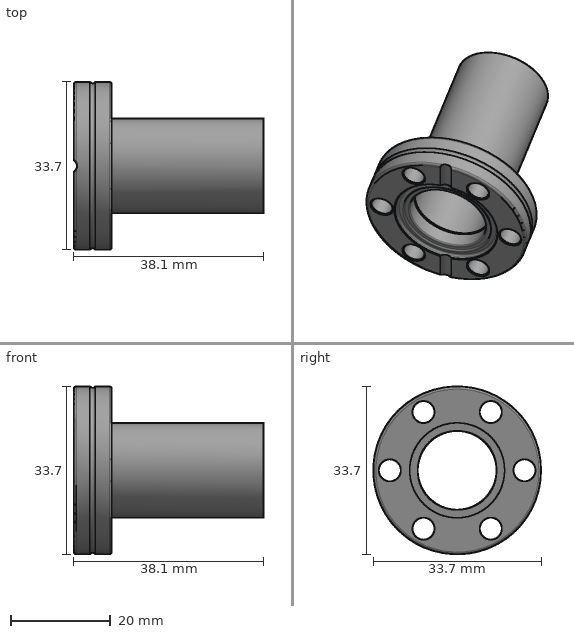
import cadquery as cq
import math

TOTAL_LENGTH = 38.1
FLANGE_DIAMETER = 33.7
FLANGE_THICKNESS = 7.62
FLANGE_EDGE_FILLET = 0.5

TUBE_OUTER_DIAMETER = 19.05
TUBE_BORE_DIAMETER = 15.75
TUBE_START = 4.5

SOCKET_FLOOR_DEPTH = 4.25
FLANGE_BORE_DIAMETER = 16.0
BORE_FILLET = 0.3

RECESS_DIAMETER = 21.46
RECESS_RIM_CHAMFER = 0.15
RECESS_CORNER_RADIUS = 0.4
RECESS_CORNER_START = 0.66
KNIFE_SLOPE_ANGLE = 20
KNIFE_INNER_RADIUS = 9.22
KNIFE_TIP_ROUNDING = 0.1
KNIFE_FOOT_FILLET = 0.22
INNER_FLOOR_DEPTH = 1.1

RIM_GROOVE_WIDTH = 1.1
RIM_GROOVE_DEPTH = 0.28

BOLT_HOLE_COUNT = 6
BOLT_CIRCLE_DIAMETER = 27.0
BOLT_HOLE_DIAMETER = 4.37
BOLT_HOLE_CHAMFER = 0.22

CHANNEL_WIDTH = 2.3
CHANNEL_DEPTH = 0.62


def arc_radius(width, depth):
    """Radius of the arc that spans a chord of this width with this sagitta."""
    return (width ** 2 / 4 + depth ** 2) / (2 * depth)


def arc_point(center, radius, angle):
    """Point (X, radius) on an arc; the angle turns from +X toward larger radius."""
    return (center[0] + radius * math.cos(angle), center[1] + radius * math.sin(angle))


def revolve_about_x(outline):
    """Revolve an outline drawn as (X, radius) about the X axis."""
    return outline.close().revolve(360, (0, 0, 0), (1, 0, 0))


def make_flange_blank():
    flange_radius = FLANGE_DIAMETER / 2
    recess_radius = RECESS_DIAMETER / 2
    bore_radius = FLANGE_BORE_DIAMETER / 2
    socket_radius = TUBE_OUTER_DIAMETER / 2
    groove_middle = FLANGE_THICKNESS / 2
    groove_half = RIM_GROOVE_WIDTH / 2

    slope = math.radians(KNIFE_SLOPE_ANGLE)
    corner_center = (RECESS_CORNER_START, recess_radius - RECESS_CORNER_RADIUS)
    corner_foot = arc_point(corner_center, RECESS_CORNER_RADIUS, -slope)
    corner_middle = arc_point(corner_center, RECESS_CORNER_RADIUS, (math.pi / 2 - slope) / 2)

    tip_center_radius = KNIFE_INNER_RADIUS + KNIFE_TIP_ROUNDING
    tip_outer_radius = tip_center_radius + KNIFE_TIP_ROUNDING * math.sin(slope)
    tip_outer_depth = corner_foot[0] - (corner_foot[1] - tip_outer_radius) * math.tan(slope)
    tip_center = (tip_outer_depth + KNIFE_TIP_ROUNDING * math.cos(slope), tip_center_radius)
    tip_outer = (tip_outer_depth, tip_outer_radius)
    tip_middle = arc_point(tip_center, KNIFE_TIP_ROUNDING, (3 * math.pi / 2 + math.pi - slope) / 2)
    tip_inner = (tip_center[0], KNIFE_INNER_RADIUS)

    foot_center = (INNER_FLOOR_DEPTH - KNIFE_FOOT_FILLET, KNIFE_INNER_RADIUS - KNIFE_FOOT_FILLET)
    foot_middle = arc_point(foot_center, KNIFE_FOOT_FILLET, math.pi / 4)

    bore_bulge = BORE_FILLET * (1 - math.sqrt(0.5))
    fillet = FLANGE_EDGE_FILLET
    fillet_bulge = fillet * (1 - math.sqrt(0.5))
    outline = (
        cq.Workplane("XY")
        .moveTo(0, recess_radius + RECESS_RIM_CHAMFER)
        .lineTo(0, flange_radius - fillet)
        .threePointArc((fillet_bulge, flange_radius - fillet_bulge), (fillet, flange_radius))
        .lineTo(groove_middle - groove_half, flange_radius)
        .threePointArc(
            (groove_middle, flange_radius - RIM_GROOVE_DEPTH),
            (groove_middle + groove_half, flange_radius),
        )
        .lineTo(FLANGE_THICKNESS - fillet, flange_radius)
        .threePointArc(
            (FLANGE_THICKNESS - fillet_bulge, flange_radius - fillet_bulge),
            (FLANGE_THICKNESS, flange_radius - fillet),
        )
        .lineTo(FLANGE_THICKNESS, socket_radius)
        .lineTo(SOCKET_FLOOR_DEPTH, socket_radius)
        .lineTo(SOCKET_FLOOR_DEPTH, bore_radius)
        .lineTo(INNER_FLOOR_DEPTH + BORE_FILLET, bore_radius)
        .threePointArc(
            (INNER_FLOOR_DEPTH + bore_bulge, bore_radius + bore_bulge),
            (INNER_FLOOR_DEPTH, bore_radius + BORE_FILLET),
        )
        .lineTo(INNER_FLOOR_DEPTH, foot_center[1])
        .threePointArc(foot_middle, (foot_center[0], KNIFE_INNER_RADIUS))
        .lineTo(*tip_inner)
        .threePointArc(tip_middle, tip_outer)
        .lineTo(*corner_foot)
        .threePointArc(corner_middle, (RECESS_CORNER_START, recess_radius))
        .lineTo(RECESS_RIM_CHAMFER, recess_radius)
    )
    return revolve_about_x(outline)


def make_bolt_hole(angle):
    """Cutter for one through hole with its mouth chamfered at the sealing face."""
    hole_radius = BOLT_HOLE_DIAMETER / 2
    outline = (
        cq.Workplane("XY")
        .moveTo(0, 0)
        .lineTo(0, hole_radius + BOLT_HOLE_CHAMFER)
        .lineTo(BOLT_HOLE_CHAMFER, hole_radius)
        .lineTo(FLANGE_THICKNESS, hole_radius)
        .lineTo(FLANGE_THICKNESS, 0)
    )
    hole = revolve_about_x(outline).translate((0, BOLT_CIRCLE_DIAMETER / 2, 0))
    return hole.rotate((0, 0, 0), (1, 0, 0), angle)


def make_channel():
    """Cutter for the two opposed channels, running straight across along Z."""
    radius = arc_radius(CHANNEL_WIDTH, CHANNEL_DEPTH)
    return (
        cq.Workplane("XY")
        .center(CHANNEL_DEPTH - radius, 0)
        .circle(radius)
        .extrude(FLANGE_DIAMETER / 2, both=True)
    )


def make_flange():
    flange = make_flange_blank()
    for index in range(BOLT_HOLE_COUNT):
        flange = flange.cut(make_bolt_hole(index * 360 / BOLT_HOLE_COUNT))
    return flange.cut(make_channel())


def make_tube():
    return (
        cq.Workplane("YZ", origin=(TUBE_START, 0, 0))
        .circle(TUBE_OUTER_DIAMETER / 2)
        .circle(TUBE_BORE_DIAMETER / 2)
        .extrude(TOTAL_LENGTH - TUBE_START)
    )


flange = make_flange()
tube = make_tube()
result = cq.Compound.makeCompound([flange.val(), tube.val()])